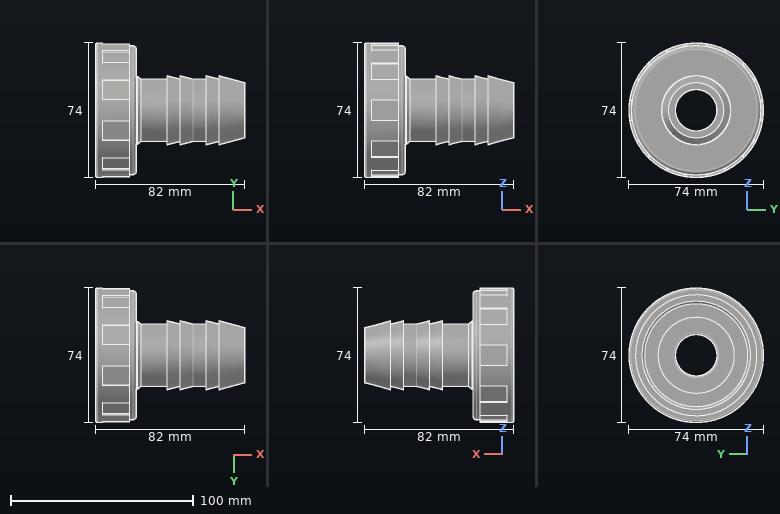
import cadquery as cq
import math


nut_radius = 37.0
front_round = 1.0
band_end = 18.7
flange_radius = 35.5
flange_end = 22.5
flange_round = 2.0
face_recess_radius = 33.3
face_recess_depth = 1.0
cavity_radius = 28.3
mouth_chamfer = 1.5
cavity_floor = 18.4

pocket_count = 10
pocket_start = 3.85
pocket_width = 11.15
pocket_floor_radius = flange_radius
cutter_overshoot = 0.8

head_radius = 20.9
head_thickness = 2.0
head_face = cavity_floor - head_thickness
bore_radius = 11.3
bore_round = 1.0
collar_radius = 18.7
collar_end = 23.0
shank_radius = 17.2
barb_radius = 19.0
barb_length = 7.1
tail_end = 82.0
tip_start = tail_end - 2 * barb_length
third_barb_start = tip_start - barb_length
second_barb_start = third_barb_start - 2 * barb_length
first_barb_start = second_barb_start - barb_length
shank_start = first_barb_start - 2 * barb_length
tip_radius = 15.2

round_offset = 1 - math.sqrt(0.5)


def revolve_about_x(profile):
    return profile.close().revolve(360, (0, 0, 0), (1, 0, 0))


def make_pocket_cutter(index):
    """Block that cuts one pocket, open at the rear of the band."""
    radial_height = nut_radius - pocket_floor_radius + cutter_overshoot
    cutter = cq.Workplane("XY").box(
        band_end - pocket_start, pocket_width, radial_height, centered=(False, True, False)
    )
    angle = 360 / pocket_count * (index + 0.5)
    return cutter.translate((pocket_start, 0, pocket_floor_radius)).rotate((0, 0, 0), (1, 0, 0), angle)


def make_nut():
    mouth_radius = cavity_radius + mouth_chamfer
    outline = (
        cq.Workplane("XY")
        .moveTo(0, face_recess_radius)
        .lineTo(0, nut_radius - front_round)
        .threePointArc(
            (front_round * round_offset, nut_radius - front_round * round_offset),
            (front_round, nut_radius),
        )
        .lineTo(band_end, nut_radius)
        .lineTo(band_end, flange_radius)
        .lineTo(flange_end - flange_round, flange_radius)
        .threePointArc(
            (flange_end - flange_round * round_offset, flange_radius - flange_round * round_offset),
            (flange_end, flange_radius - flange_round),
        )
        .lineTo(flange_end, collar_radius)
        .lineTo(cavity_floor, collar_radius)
        .lineTo(cavity_floor, cavity_radius)
        .lineTo(face_recess_depth + mouth_chamfer, cavity_radius)
        .lineTo(face_recess_depth, mouth_radius)
        .lineTo(face_recess_depth, face_recess_radius)
    )
    nut = revolve_about_x(outline)
    for index in range(pocket_count):
        nut = nut.cut(make_pocket_cutter(index))
    return nut


def add_barb(outline, start):
    """Continue the outline from the shank up to a barb crest and back down its slope."""
    return outline.lineTo(start, barb_radius).lineTo(start + barb_length, shank_radius)


def make_tail():
    outline = (
        cq.Workplane("XY")
        .moveTo(head_face + bore_round, bore_radius)
        .threePointArc(
            (head_face + bore_round * round_offset, bore_radius + bore_round * round_offset),
            (head_face, bore_radius + bore_round),
        )
        .lineTo(head_face, head_radius)
        .lineTo(cavity_floor, head_radius)
        .lineTo(cavity_floor, collar_radius)
        .lineTo(collar_end, collar_radius)
        .lineTo(shank_start, shank_radius)
    )
    outline = outline.lineTo(first_barb_start, shank_radius)
    outline = add_barb(outline, first_barb_start)
    outline = add_barb(outline, second_barb_start)
    outline = outline.lineTo(third_barb_start, shank_radius)
    outline = add_barb(outline, third_barb_start)
    outline = (
        outline.lineTo(tip_start, barb_radius)
        .lineTo(tail_end, tip_radius)
        .lineTo(tail_end, bore_radius)
    )
    return revolve_about_x(outline)


nut = make_nut()
tail = make_tail()

result = cq.Compound.makeCompound([nut.val(), tail.val()])